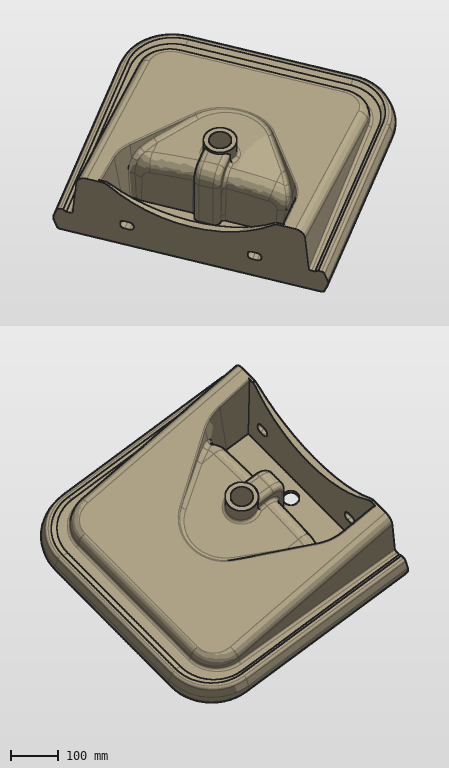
import cadquery as cq
import math

half_width = 302.5
depth = 559.0

slab_height = 63.0
belly_height = slab_height / 2
side_inset = 11.5
belly_fillet = 24.0
slab_corner = 121.0
slab_edge_fillet = 7.0
front_overrun = 60.5

trough_depth = 5.0
trough_floor = slab_height - trough_depth
trough_side_inset = 22.0
trough_rear_inset = 21.0
trough_side_run = 7.0
trough_rear_run = 13.5

body_half_width = 260.0
body_rear_half_width = 252.0
body_rear = 496.0
body_corner = 72.5
body_draft = 5.0
body_fillet = 22.5
foot_fillet = 6.0
top_front_height = 176.0
top_fall = 15.0
top_fall_run = 80.0

recess_plane = 181.5
recess_half_width = 202.0
recess_apex = 351.0
recess_front = 5.0
recess_radius = 109.0
recess_flank_angle = 31.7
recess_draft = 8.5
rim_fillet = 3.0
floor_height = 9.0

ledge_edge = 136.0
ledge_height = 135.0
ledge_fall_angle = 7.5
ledge_crown = 1089.0
ledge_foot = 121.0
ledge_wall_draft = 4.0
ledge_half_width = 178.5
ledge_shoulder = 48.5
ledge_fillet = 30.0
ledge_side_fillet = 9.0

dip_height = 104.0
dip_radius = 278.0
dip_shoulder = 24.0
dip_depth = 24.0

boss_position = 199.5
boss_radius = 35.0
boss_height = 165.0
boss_bore = 23.5
outlet_foot_fillet = 7.0
rib_half_width = 29.0
rib_height = 160.0
rib_front = 101.5
rib_fillet = 36.0
rib_edge_fillet = 13.5

drain_position = 64.0
drain_radius = 17.5
slot_spacing = 281.0
slot_height = 61.0
slot_length = 30.0
slot_width = 22.5
slot_corner = 9.5
slot_depth = 48.5

pick_margin = 6.0


def edges_within(low, high):
    """Selector for the edges centred inside a box."""
    return cq.selectors.BoxSelector(low, high)


def top_height(y):
    """Height of the sloping top of the body."""
    return top_front_height - y * top_fall / top_fall_run


def rounded_outline(front_half, rear_half, rear, corner):
    """Outline with two rounded rear corners, run on past the front face."""
    flare = (front_half - rear_half) * front_overrun / rear
    start_half = front_half + flare
    return (
        cq.Sketch()
        .polygon([
            (-start_half, -front_overrun),
            (start_half, -front_overrun),
            (rear_half, rear),
            (-rear_half, rear),
            (-start_half, -front_overrun),
        ])
        .vertices(">Y")
        .fillet(corner)
    )


def make_slab():
    """Slab whose sides lean in above and below a rounded belly line."""
    lean = math.atan(side_inset / belly_height)
    overshoot = belly_fillet * (1 / math.cos(lean) - 1)
    half = half_width + overshoot
    outline = rounded_outline(half, half, depth + overshoot, slab_corner)
    upper = (
        cq.Workplane("XY", origin=(0, 0, belly_height))
        .placeSketch(outline)
        .extrude(belly_height, taper=math.degrees(lean))
    )
    slab = upper.union(upper.mirror("XY", (0, 0, belly_height)))
    belly_edges = edges_within(
        (-2 * half, 0, belly_height - pick_margin), (2 * half, 2 * depth, belly_height + pick_margin)
    )
    slab = slab.edges(belly_edges).fillet(belly_fillet)
    return slab.faces("<Z or >Z").edges().fillet(slab_edge_fillet).cut(make_trough())


def make_trough():
    side = half_width - trough_side_inset
    rear = depth - trough_rear_inset
    corner = slab_corner - trough_side_inset
    floor_side = side - trough_side_run
    floor_rear = rear - trough_rear_run
    mouth = rounded_outline(side, side, rear, corner)
    floor = rounded_outline(floor_side, floor_side, floor_rear, corner - trough_side_run)
    return (
        cq.Workplane("XY", origin=(0, 0, trough_floor))
        .placeSketch(floor, mouth.moved(cq.Location(cq.Vector(0, 0, trough_depth))))
        .loft()
    )


def make_body():
    outline = rounded_outline(body_half_width, body_rear_half_width, body_rear, body_corner)
    body = (
        cq.Workplane("XY", origin=(0, 0, trough_floor))
        .placeSketch(outline)
        .extrude(recess_plane, taper=body_draft)
    )
    reach = depth + front_overrun
    above = (
        cq.Workplane("YZ", origin=(-half_width, 0, 0))
        .moveTo(-front_overrun, top_height(-front_overrun))
        .lineTo(reach, top_height(reach))
        .lineTo(reach, 2 * recess_plane)
        .lineTo(-front_overrun, 2 * recess_plane)
        .close()
        .extrude(2 * half_width)
    )
    return body.cut(above).faces(">Z").edges("not <Y").fillet(body_fillet)


def make_ledge():
    """Ledge with a crowned, sloping top and a drafted front wall."""
    wall_lean = math.tan(math.radians(ledge_wall_draft))
    height = 2 * recess_plane
    block = (
        cq.Workplane("YZ", origin=(-half_width, 0, 0))
        .moveTo(ledge_foot, floor_height)
        .lineTo(ledge_foot + wall_lean * (height - floor_height), height)
        .lineTo(depth, height)
        .lineTo(depth, floor_height)
        .close()
        .extrude(2 * half_width)
    )
    crown = (
        cq.Workplane("XZ", origin=(0, 2 * depth, ledge_height - ledge_crown))
        .circle(ledge_crown)
        .extrude(4 * depth)
        .intersect(cq.Workplane("XY").box(2 * ledge_half_width, 8 * depth, 4 * recess_plane))
        .faces("%CYLINDER")
        .edges("|Y")
        .fillet(ledge_shoulder)
        .rotate((0, ledge_edge, ledge_height), (1, ledge_edge, ledge_height), -ledge_fall_angle)
    )
    ledge = block.intersect(crown)
    front_edge = edges_within(
        (-pick_margin, ledge_foot, ledge_height / 2), (pick_margin, boss_position, recess_plane)
    )
    return ledge.edges(front_edge).fillet(ledge_fillet)


def make_recess():
    flank = math.radians(recess_flank_angle)
    across = math.cos(flank)
    along = math.sin(flank)
    crest = recess_apex - recess_radius
    flank_start = (recess_radius * across, crest + recess_radius * along)
    shoulder_x = recess_half_width - recess_radius
    flank_end_x = shoulder_x + recess_radius * across
    flank_end_y = flank_start[1] - (flank_end_x - flank_start[0]) / math.tan(flank)
    side_y = flank_end_y - recess_radius * along
    mid_x = shoulder_x + recess_radius * math.cos(flank / 2)
    mid_y = side_y + recess_radius * math.sin(flank / 2)
    outline = (
        cq.Workplane("XY", origin=(0, 0, recess_plane))
        .moveTo(-recess_half_width, recess_front)
        .lineTo(recess_half_width, recess_front)
        .lineTo(recess_half_width, side_y)
        .threePointArc((mid_x, mid_y), (flank_end_x, flank_end_y))
        .lineTo(*flank_start)
        .threePointArc((0, recess_apex), (-flank_start[0], flank_start[1]))
        .lineTo(-flank_end_x, flank_end_y)
        .threePointArc((-mid_x, mid_y), (-recess_half_width, side_y))
        .close()
    )
    bowl = outline.extrude(floor_height - recess_plane, taper=recess_draft)
    recess = bowl.cut(make_ledge())
    ledge_sides = edges_within(
        (-half_width, ledge_edge + ledge_shoulder, floor_height),
        (half_width, recess_apex, ledge_height),
    )
    return recess.edges(ledge_sides).fillet(ledge_side_fillet)


def make_dip():
    """Cutter for the dip: a wide arc with a rounded shoulder at each end."""
    centre_z = dip_height + dip_radius
    shoulder_z = top_front_height - dip_shoulder
    reach = dip_radius + dip_shoulder
    rise = centre_z - shoulder_z
    shoulder_x = math.sqrt(reach**2 - rise**2)
    join_x = shoulder_x * dip_radius / reach
    join_z = centre_z - rise * dip_radius / reach
    half_turn = math.atan2(shoulder_x, rise) / 2
    mid_x = shoulder_x - dip_shoulder * math.sin(half_turn)
    mid_z = shoulder_z + dip_shoulder * math.cos(half_turn)
    return (
        cq.Workplane("XZ", origin=(0, dip_depth, 0))
        .moveTo(-shoulder_x, top_front_height)
        .threePointArc((-mid_x, mid_z), (-join_x, join_z))
        .threePointArc((0, dip_height), (join_x, join_z))
        .threePointArc((mid_x, mid_z), (shoulder_x, top_front_height))
        .lineTo(shoulder_x, recess_plane)
        .lineTo(-shoulder_x, recess_plane)
        .close()
        .extrude(dip_depth)
    )


def make_boss():
    base = ledge_height - boss_radius
    return (
        cq.Workplane("XY", origin=(0, boss_position, base))
        .circle(boss_radius)
        .extrude(boss_height - base)
    )


def make_rib():
    length = boss_position - rib_front
    exposed = edges_within(
        (-half_width, 0, floor_height + pick_margin),
        (half_width, boss_position - pick_margin, recess_plane),
    )
    return (
        cq.Workplane("XY", origin=(0, rib_front + length / 2, floor_height))
        .box(2 * rib_half_width, length, rib_height - floor_height, centered=(True, True, False))
        .edges("<Y and >Z")
        .fillet(rib_fillet)
        .edges(exposed)
        .fillet(rib_edge_fillet)
    )


def make_bores():
    drill = cq.Workplane("XY").pushPoints([(0, boss_position)]).circle(boss_bore).extrude(recess_plane)
    drain = cq.Workplane("XY").center(0, drain_position).circle(drain_radius).extrude(recess_plane)
    return drill.union(drain)


def make_slots():
    return (
        cq.Workplane("XZ", origin=(0, 0, slot_height))
        .rarray(slot_spacing, 6, 2, 1)
        .rect(slot_length, slot_width)
        .extrude(-slot_depth)
        .edges("|Y")
        .fillet(slot_corner)
    )


def join_slab_and_body():
    """Shell cut flat at the wall face, with a fillet running round the foot of the body."""
    foot_rear = edges_within(
        (-pick_margin, body_rear - pick_margin, trough_floor - pick_margin),
        (pick_margin, body_rear + pick_margin, trough_floor + pick_margin),
    )
    joined = make_slab().union(make_body()).edges(foot_rear).fillet(foot_fillet)
    behind_wall = cq.Workplane("XY", origin=(0, -depth, 0)).box(4 * half_width, 2 * depth, 4 * recess_plane)
    return joined.cut(behind_wall)


def cut_recess(shell):
    """Cut the recess, soften its rim, then cut the dip through the front wall."""
    rim_apex = edges_within(
        (-pick_margin, recess_apex - recess_radius / 2, top_height(recess_apex)),
        (pick_margin, recess_apex, top_front_height),
    )
    return shell.cut(make_recess()).edges(rim_apex).fillet(rim_fillet).cut(make_dip())


def add_outlet(shell):
    """Add the boss and its rib, with a fillet where they meet the ledge and its front wall."""
    shell = shell.union(make_boss()).union(make_rib())
    side_x = rib_half_width
    right_foot = edges_within(
        (side_x - pick_margin, ledge_foot, floor_height + pick_margin),
        (side_x + pick_margin, boss_position, ledge_height),
    )
    left_foot = edges_within(
        (-side_x - pick_margin, ledge_foot, floor_height + pick_margin),
        (-side_x + pick_margin, boss_position, ledge_height),
    )
    return shell.edges(right_foot + left_foot).fillet(outlet_foot_fillet)


result = add_outlet(cut_recess(join_slab_and_body())).cut(make_bores()).cut(make_slots())